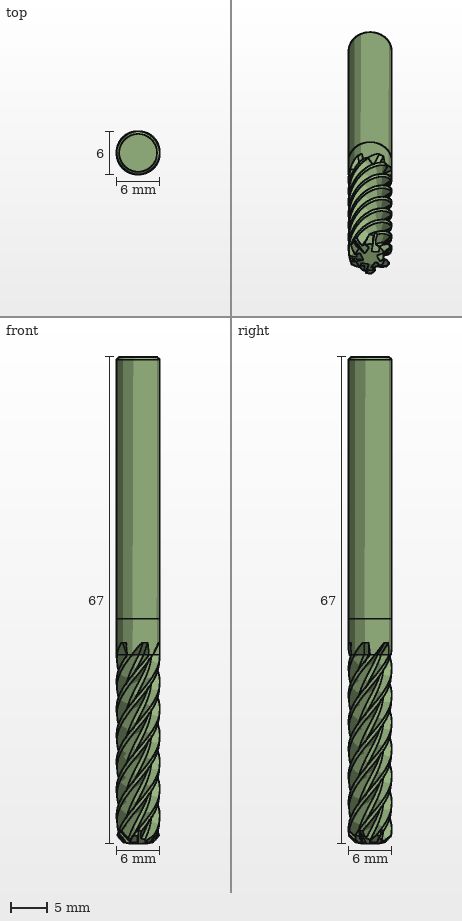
import cadquery as cq
import math

DIAMETER = 6.0
TOTAL_LENGTH = 67.0
SHANK_LENGTH = 36.0
SHANK_CHAMFER = 0.4
FLUTE_LENGTH = 26.0
RUNOUT_LENGTH = 1.7

TIP_FLAT_RADIUS = 1.0
TIP_CONE_HEIGHT = 0.2
CORNER_CHAMFER = 1.0

GASH_WALL_ANGLE = 30.0
GASH_WIDTH = 1.0
GASH_HEIGHT = 1.9

FLUTE_COUNT = 6
HELIX_ANGLE = 40.4

LAND_ANGLE = 13.0
LAND_END_RADIUS = 2.92
FLOOR_START_ANGLE = 33.0
FLOOR_END_ANGLE = 54.0
CORE_RADIUS = 1.85

RADIUS = DIAMETER / 2
CUTTER_LENGTH = TOTAL_LENGTH - SHANK_LENGTH
TOOTH_PITCH = 360.0 / FLUTE_COUNT
FLUTE_LEAD = math.pi * DIAMETER / math.tan(math.radians(HELIX_ANGLE))
FLUTE_TWIST = 360.0 * FLUTE_LENGTH / FLUTE_LEAD
FLUTE_DEPTH = RADIUS - CORE_RADIUS
FLOOR_MID_ANGLE = (FLOOR_START_ANGLE + FLOOR_END_ANGLE) / 2


def polar(radius, angle):
    """Point in the section plane at an angle in degrees."""
    return (radius * math.cos(math.radians(angle)), radius * math.sin(math.radians(angle)))


def make_shank():
    """Plain round shank with a chamfered end."""
    chamfer_radius = RADIUS - SHANK_CHAMFER
    half_section = (
        cq.Workplane("YZ")
        .moveTo(0, CUTTER_LENGTH)
        .lineTo(-RADIUS, CUTTER_LENGTH)
        .lineTo(-RADIUS, TOTAL_LENGTH - SHANK_CHAMFER)
        .lineTo(-chamfer_radius, TOTAL_LENGTH)
        .lineTo(0, TOTAL_LENGTH)
        .close()
    )
    return half_section.revolve(360, (0, 0), (0, 1))


def add_flute_floor(outline, edge_angle):
    """Continue an outline from the end of a land across one flute to the next cutting edge."""
    return (
        outline.lineTo(*polar(CORE_RADIUS, edge_angle + FLOOR_START_ANGLE))
        .threePointArc(
            polar(CORE_RADIUS, edge_angle + FLOOR_MID_ANGLE),
            polar(CORE_RADIUS, edge_angle + FLOOR_END_ANGLE),
        )
        .lineTo(*polar(RADIUS, edge_angle + TOOTH_PITCH))
    )


def make_fluted_length():
    """Helical teeth, trimmed to the chamfered tip."""
    outline = cq.Workplane("XY").moveTo(*polar(RADIUS, -FLUTE_TWIST))
    for tooth in range(FLUTE_COUNT):
        edge_angle = tooth * TOOTH_PITCH - FLUTE_TWIST
        outline = outline.lineTo(*polar(LAND_END_RADIUS, edge_angle + LAND_ANGLE))
        outline = add_flute_floor(outline, edge_angle)
    teeth = outline.close().twistExtrude(FLUTE_LENGTH, FLUTE_TWIST)

    tip_envelope = (
        cq.Workplane("XZ")
        .lineTo(TIP_FLAT_RADIUS, 0)
        .lineTo(RADIUS - CORNER_CHAMFER, TIP_CONE_HEIGHT)
        .lineTo(RADIUS, TIP_CONE_HEIGHT + CORNER_CHAMFER)
        .lineTo(DIAMETER, TIP_CONE_HEIGHT + CORNER_CHAMFER + RADIUS)
        .lineTo(DIAMETER, FLUTE_LENGTH)
        .lineTo(0, FLUTE_LENGTH)
        .close()
        .revolve(360, (0, 0), (0, 1))
    )
    return teeth.intersect(tip_envelope)


def make_gash(wall_angle):
    """Tool for one end gash, counter-clockwise of a radial wall tallest at the outer surface."""
    side_profile = (
        cq.Workplane("XZ")
        .moveTo(TIP_FLAT_RADIUS, 0)
        .lineTo(RADIUS, GASH_HEIGHT)
        .lineTo(DIAMETER, GASH_HEIGHT)
        .lineTo(DIAMETER, 0)
        .close()
    )
    return side_profile.extrude(-GASH_WIDTH).rotate((0, 0, 0), (0, 0, 1), wall_angle)


def make_runout(edge_angle):
    """Tool that carries one flute straight up while its floor rises out to the surface."""
    next_edge_angle = edge_angle + TOOTH_PITCH
    outline = cq.Workplane("XY").workplane(offset=FLUTE_LENGTH)
    outline = outline.moveTo(*polar(RADIUS, edge_angle + LAND_ANGLE))
    outline = add_flute_floor(outline, edge_angle)
    outline = outline.lineTo(*polar(DIAMETER, next_edge_angle))
    outline = outline.lineTo(*polar(DIAMETER, edge_angle + LAND_ANGLE)).close()
    face = cq.Face.makeFromWires(outline.val())
    rise = cq.Vector(*polar(FLUTE_DEPTH, next_edge_angle), RUNOUT_LENGTH)
    return cq.Workplane(cq.Solid.extrudeLinear(face, rise))


def make_cutter():
    """Fluted cutting part with a round neck that meets the shank."""
    neck = cq.Workplane("XY").workplane(offset=FLUTE_LENGTH)
    neck = neck.circle(RADIUS).extrude(CUTTER_LENGTH - FLUTE_LENGTH)
    for tooth in range(FLUTE_COUNT):
        neck = neck.cut(make_runout(tooth * TOOTH_PITCH))
    fluted_length = make_fluted_length()
    for tooth in range(FLUTE_COUNT):
        fluted_length = fluted_length.cut(make_gash(GASH_WALL_ANGLE + tooth * TOOTH_PITCH))
    return neck.union(fluted_length)


shank = make_shank()
cutter = make_cutter()
result = cq.Compound.makeCompound([shank.val(), cutter.val()])